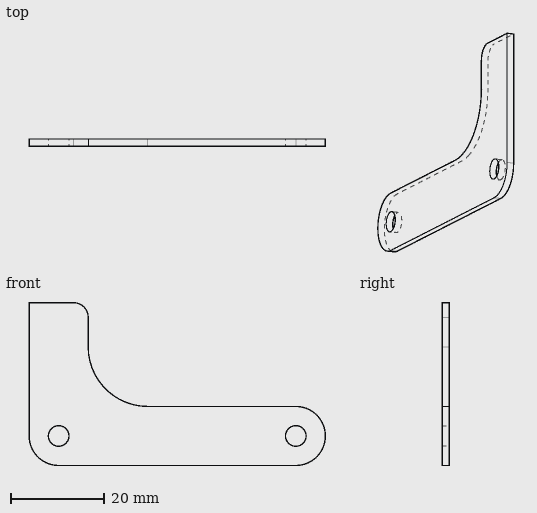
import cadquery as cq

length = 63.5
height = 34.925
thickness = 1.5875
arm_width = 12.7
inner_radius = 12.7
tip_radius = 3.175
hole_diameter = 4.37

end_radius = arm_width / 2
hole_spacing = length - 2 * end_radius
diagonal = 0.5 ** 0.5


def bracket_plate():
    """L-shaped plate: a long arm with a round end and a short upright."""
    end_center_x = length - end_radius
    inner_center_x = arm_width + inner_radius
    inner_center_z = arm_width + inner_radius
    tip_center_x = arm_width - tip_radius
    tip_center_z = height - tip_radius

    outline = (
        cq.Workplane("XZ")
        .moveTo(end_radius, 0)
        .lineTo(end_center_x, 0)
        .threePointArc((length, end_radius), (end_center_x, arm_width))
        .lineTo(inner_center_x, arm_width)
        .threePointArc(
            (inner_center_x - inner_radius * diagonal, inner_center_z - inner_radius * diagonal),
            (arm_width, inner_center_z),
        )
        .lineTo(arm_width, tip_center_z)
        .threePointArc(
            (tip_center_x + tip_radius * diagonal, tip_center_z + tip_radius * diagonal),
            (tip_center_x, height),
        )
        .lineTo(0, height)
        .lineTo(0, end_radius)
        .threePointArc(
            (end_radius * (1 - diagonal), end_radius * (1 - diagonal)),
            (end_radius, 0),
        )
        .close()
    )
    return outline.extrude(thickness)


def mounting_holes():
    """Cutters for the two through holes, centred on the end rounds."""
    centers = [(end_radius, end_radius), (end_radius + hole_spacing, end_radius)]
    return cq.Workplane("XZ").pushPoints(centers).circle(hole_diameter / 2).extrude(thickness)


result = bracket_plate().cut(mounting_holes())